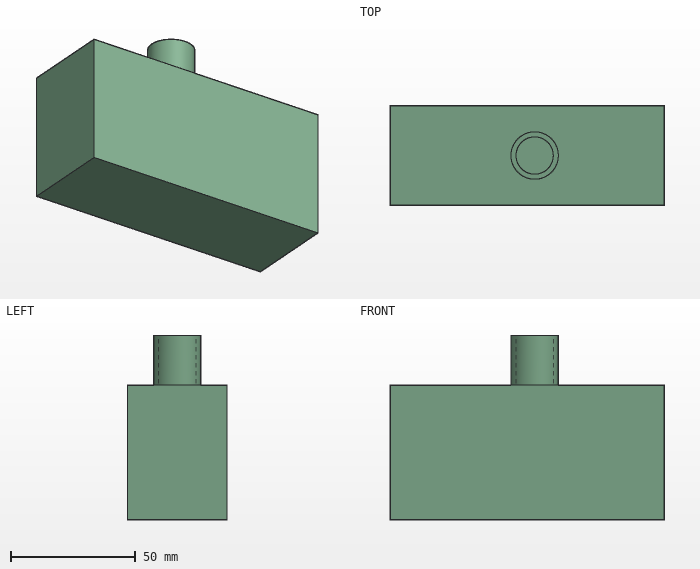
import cadquery as cq

block_length = 110.0
block_width = 40.0
block_height = 54.0

tube_height = 20.0
tube_outer_diameter = 19.0
tube_bore_diameter = 15.0
tube_offset_x = 3.0

block = cq.Workplane("XY").box(block_length, block_width, block_height, centered=(True, True, False))

tube = (
    cq.Workplane("XY", origin=(tube_offset_x, 0, block_height))
    .circle(tube_outer_diameter / 2)
    .circle(tube_bore_diameter / 2)
    .extrude(tube_height)
)

result = block.union(tube)